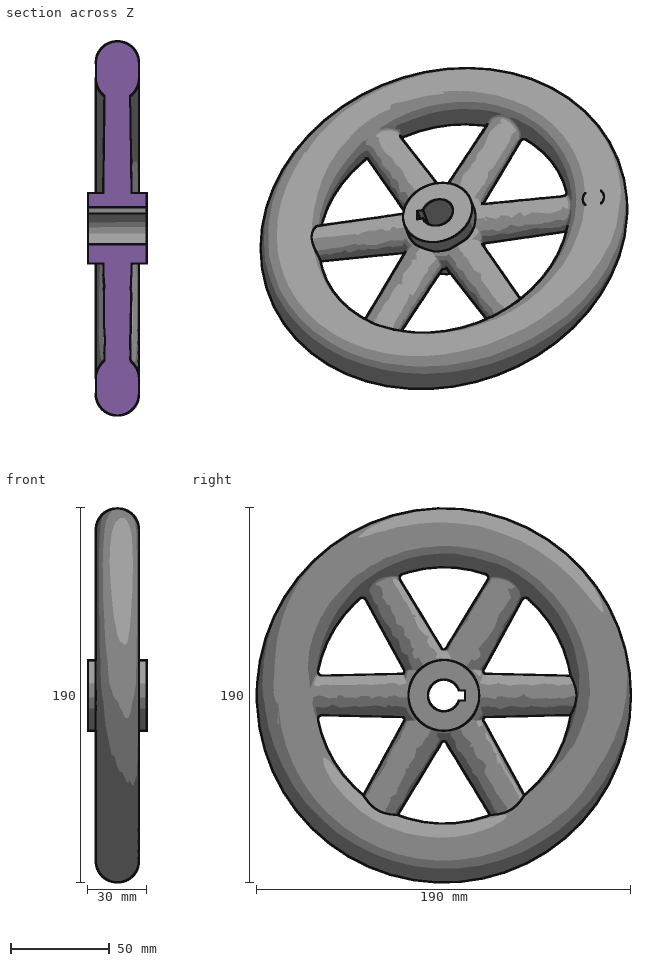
import cadquery as cq
import math

rim_outer_radius = 95.0
rim_width = 30.0
rim_edge_radius = 11.0
rim_inner_radius = rim_outer_radius - rim_width
rim_mid_radius = rim_outer_radius - rim_width / 2
rim_flat_half_width = rim_width / 2 - rim_edge_radius

hub_diameter = 36.0
hub_length = 30.0
bore_diameter = 16.0
key_width = 5.0
key_reach = 10.6

collar_radius = 23.4
collar_edge_radius = 6.5
collar_fillet = 0.8

spoke_count = 6
filleted_spoke_angles = [60, 120, 180]
spoke_root_width = 22.0
spoke_root_thickness = 14.5
spoke_tip_width = 19.4
spoke_tip_thickness = 13.0
spoke_start_radius = 13.3
taper_start_radius = 23.0
taper_end_radius = rim_mid_radius
spoke_fillet = 1.9

pad_diameter = 11.0


def x_cylinder(diameter, start, length, y=0):
    return cq.Workplane("YZ", origin=(start, y, 0)).circle(diameter / 2).extrude(length)


def make_rim():
    """Rim ring around the X axis."""
    flat_inner = rim_mid_radius - rim_flat_half_width
    flat_outer = rim_mid_radius + rim_flat_half_width
    section = (
        cq.Workplane("XY")
        .moveTo(-rim_edge_radius, flat_inner)
        .lineTo(-rim_edge_radius, flat_outer)
        .threePointArc((0, rim_outer_radius), (rim_edge_radius, flat_outer))
        .lineTo(rim_edge_radius, flat_inner)
        .threePointArc((0, rim_inner_radius), (-rim_edge_radius, flat_inner))
        .close()
    )
    return section.revolve(360, (0, 0, 0), (1, 0, 0))


def make_collar():
    """Disc around the X axis with a full round edge."""
    arc_center_radius = collar_radius - collar_edge_radius
    section = (
        cq.Workplane("XY")
        .moveTo(-collar_edge_radius, 0)
        .lineTo(-collar_edge_radius, arc_center_radius)
        .threePointArc((0, collar_radius), (collar_edge_radius, arc_center_radius))
        .lineTo(collar_edge_radius, 0)
        .close()
    )
    return section.revolve(360, (0, 0, 0), (1, 0, 0))


def make_spoke(angle):
    """One spoke, built along +Y and turned about the X axis."""
    root = (
        cq.Workplane("XZ", origin=(0, spoke_start_radius, 0))
        .ellipse(spoke_root_thickness / 2, spoke_root_width / 2)
        .extrude(spoke_start_radius - taper_start_radius)
    )
    taper = (
        cq.Workplane("XZ", origin=(0, taper_start_radius, 0))
        .ellipse(spoke_root_thickness / 2, spoke_root_width / 2)
        .workplane(offset=taper_start_radius - taper_end_radius)
        .ellipse(spoke_tip_thickness / 2, spoke_tip_width / 2)
        .loft()
    )
    return root.union(taper).rotate((0, 0, 0), (1, 0, 0), angle)


def axis_distance(point):
    return math.hypot(point.y, point.z)


def is_collar_seam(edge):
    """Edge where the round of the collar meets a spoke outside the hub."""
    middle_distance = axis_distance(edge.Center())
    on_spoke_side = edge.geomType() == "BSPLINE"
    return on_spoke_side and hub_diameter / 2 < middle_distance < collar_radius


def is_rim_seam(edge, angle):
    """Edge where the spoke at this angle meets the rim."""
    center = edge.Center()
    along_spoke = center.y * math.cos(math.radians(angle)) + center.z * math.sin(math.radians(angle))
    on_spoke_side = edge.geomType() == "BSPLINE"
    return on_spoke_side and rim_inner_radius < along_spoke < rim_mid_radius


wheel = x_cylinder(hub_diameter, -hub_length / 2, hub_length)
for index in range(spoke_count):
    wheel = wheel.union(make_spoke(index * 360 / spoke_count))
wheel = wheel.union(make_collar())
collar_seams = [edge for edge in wheel.edges().vals() if is_collar_seam(edge)]
wheel = wheel.newObject(collar_seams).fillet(collar_fillet)

wheel = wheel.union(make_rim())
rim_seams = [
    edge
    for edge in wheel.edges().vals()
    for angle in filleted_spoke_angles
    if is_rim_seam(edge, angle)
]
wheel = wheel.newObject(rim_seams).fillet(spoke_fillet)

bore = x_cylinder(bore_diameter, -hub_length / 2, hub_length)
keyway = cq.Workplane("XY").box(hub_length, key_reach, key_width).translate((0, key_reach / 2, 0))
wheel = wheel.cut(bore.union(keyway))

pad = x_cylinder(pad_diameter, -rim_edge_radius, rim_edge_radius, -rim_mid_radius)
result = wheel.union(pad, clean=False)